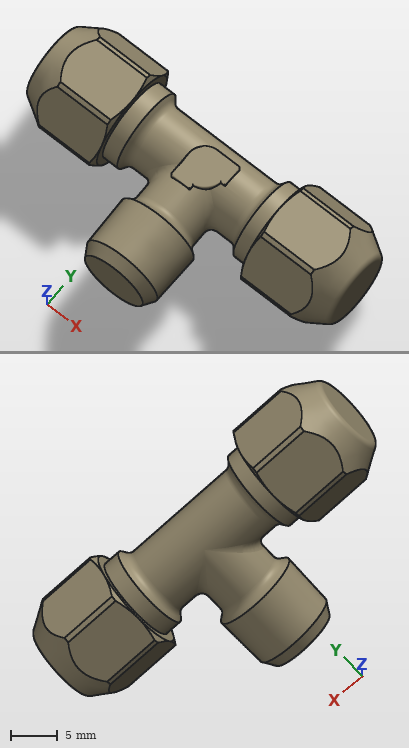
import math

import cadquery as cq

tube_radius = 4.0
collar_radius = 5.0
collar_start = 8.0
neck_arc_radius = 1.1
neck_cone_angle = 53.0
crotch_radius = 1.0

branch_end = 15.5
thread_end = 14.06
thread_end_radius = 4.85
branch_tip_radius = 4.0

nut_start = 10.0
nut_end = 21.0
nut_across_flats = 12.0
nut_corner_radius = 6.75
nut_cone_start = 17.35
nut_cone_angle = 30.0
nut_face_radius = 4.0
nut_tip_round = 0.9
right_nut_turn = -3.2

pad_top = 4.1
pad_depth = 2.0
pad_side = 2.0
pad_back_round = 2.2
pad_front_radius = 2.9
pad_reach = 3.4
pad_step = 0.7
pad_leg_round = 0.3
pad_edge_round = 0.15


def arc_offset(radius, angle):
    """Travel along an arc's starting direction and drift sideways from it after a turn in degrees."""
    turn = math.radians(angle)
    return radius * math.sin(turn), radius * (1 - math.cos(turn))


def revolve_profile(profile):
    """Solid of revolution about X of a profile closed along the axis."""
    return profile.close().revolve(360, (0, 0, 0), (1, 0, 0))


def neck_profile():
    """Half profile from the tee centre along +X: tube, concave neck and collar cone."""
    arc_length, arc_rise = arc_offset(neck_arc_radius, neck_cone_angle)
    half_length, half_rise = arc_offset(neck_arc_radius, neck_cone_angle / 2)
    cone_rise = collar_radius - tube_radius - arc_rise
    cone_length = cone_rise / math.tan(math.radians(neck_cone_angle))
    neck_start = collar_start - cone_length - arc_length
    return (
        cq.Workplane("XY")
        .moveTo(0, 0)
        .lineTo(0, tube_radius)
        .lineTo(neck_start, tube_radius)
        .threePointArc(
            (neck_start + half_length, tube_radius + half_rise),
            (neck_start + arc_length, tube_radius + arc_rise),
        )
        .lineTo(collar_start, collar_radius)
    )


def run_arm():
    """Run half along +X, ending inside the nut."""
    return revolve_profile(neck_profile().lineTo(nut_start, collar_radius).lineTo(nut_start, 0))


def branch_arm():
    """Threaded branch along -Y."""
    arm = revolve_profile(
        neck_profile()
        .lineTo(thread_end, thread_end_radius)
        .lineTo(branch_end, branch_tip_radius)
        .lineTo(branch_end, 0)
    )
    return arm.rotate((0, 0, 0), (0, 0, 1), -90)


def tee_body():
    """Run and branch joined, with the crotch between them rounded."""
    run = run_arm().union(run_arm().mirror("YZ")).clean()
    body = run.union(branch_arm())
    reach = tube_radius + crotch_radius
    crotch = cq.selectors.BoxSelector((-reach, -reach, -reach), (reach, 0, reach))
    return body.edges(crotch).fillet(crotch_radius)


def nut():
    """Hexagonal nut on the +X side, flats facing up and down."""
    slope = math.tan(math.radians(nut_cone_angle))
    back_radius = nut_across_flats / 2
    chamfer_length = (nut_corner_radius - back_radius) * slope
    tip_turn = 90 - nut_cone_angle
    tip_rise, tip_length = arc_offset(nut_tip_round, tip_turn)
    tip_half_rise, tip_half_length = arc_offset(nut_tip_round, tip_turn / 2)
    envelope = revolve_profile(
        cq.Workplane("XY")
        .moveTo(nut_start, 0)
        .lineTo(nut_start, back_radius)
        .lineTo(nut_start + chamfer_length, nut_corner_radius)
        .lineTo(nut_cone_start, nut_corner_radius)
        .lineTo(nut_end - tip_length, nut_face_radius + tip_rise)
        .threePointArc(
            (nut_end - tip_half_length, nut_face_radius + tip_half_rise),
            (nut_end, nut_face_radius),
        )
        .lineTo(nut_end, 0)
    )
    slab_width = 2 * nut_corner_radius
    slab = cq.Workplane("XY").box(2 * nut_end, slab_width, nut_across_flats)
    solid = envelope
    for angle in (0, 60, 120):
        solid = solid.intersect(slab.rotate((0, 0, 0), (1, 0, 0), angle))
    return solid


def top_pad():
    """Flat pad standing slightly above the crown of the tubes."""
    step_reach = math.sqrt(pad_front_radius**2 - pad_step**2)
    front_middle = pad_front_radius * math.sqrt(0.5)
    pad_middle = pad_top - pad_depth / 2
    pad = (
        cq.Workplane("XY", origin=(0, 0, pad_top - pad_depth))
        .moveTo(-pad_side, pad_side)
        .lineTo(pad_reach, pad_side)
        .lineTo(pad_reach, -pad_step)
        .lineTo(step_reach, -pad_step)
        .threePointArc((front_middle, -front_middle), (pad_step, -step_reach))
        .lineTo(pad_step, -pad_reach)
        .lineTo(-pad_side, -pad_reach)
        .close()
        .extrude(pad_depth)
    )
    rounded_corners = [
        (-pad_side, pad_side, pad_back_round),
        (pad_reach, pad_side, pad_leg_round),
        (-pad_side, -pad_reach, pad_leg_round),
    ]
    for x, y, radius in rounded_corners:
        corner = cq.selectors.NearestToPointSelector((x, y, pad_middle))
        pad = pad.edges(corner).fillet(radius)
    return pad.faces(">Z").edges().fillet(pad_edge_round)


left_nut = nut().mirror("YZ")
right_nut = nut().rotate((0, 0, 0), (1, 0, 0), right_nut_turn)
result = tee_body().union(left_nut).union(right_nut).union(top_pad())